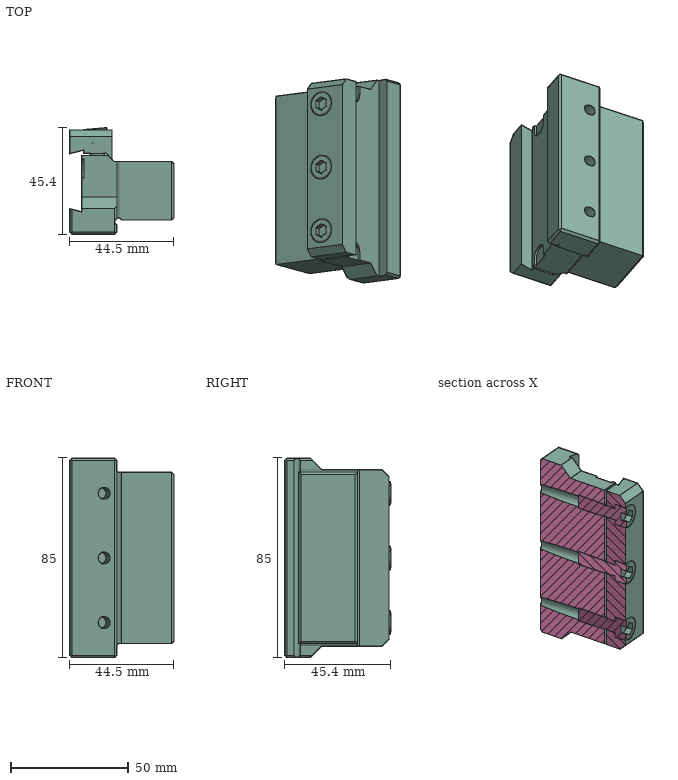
import cadquery as cq
import math

head_height = 85.0
body_height = 75.3
shank_height = 73.1
holder_width = 44.5
jaw_back_x = 20.15
seat_x = 5.1
jaw_tip_y = 11.0
shank_bottom_y = 6.0
shank_top_y = 31.1
body_top_y = 33.7
edge_chamfer = 1.0
shank_fillet = 0.85
relief_radius = 1.5
relief_offset = 0.7

notch_center_y = 28.05
notch_width = 8.0
notch_length = 7.1
notch_depth = 0.9
notch_corner_radius = 3.5

clamp_width = 18.1
clamp_top_y = 44.5
clamp_tip_y = 34.25
clamp_step_x = 5.95
clamp_under_y = 34.5
clamp_chamfer = 3.0
jaw_angle = 15.0
ramp_sum = 50.0

screw_spacing = 27.5
screw_lean = 5.0
screw_axis_x = 14.7
screw_diameter = 6.0
screw_head_diameter = 10.2
screw_head_height = 6.0
screw_start = 20.0
screw_top = 45.2
screw_head_fillet = 0.4
socket_across_flats = 5.0
socket_depth = 3.0
hexagon_sides = 6
drill_diameter = 5.0

jaw_slope = math.tan(math.radians(jaw_angle))
lean = math.radians(screw_lean)
axis_direction = cq.Vector(-math.sin(lean), math.cos(lean), 0)
screw_heights = [-screw_spacing, 0.0, screw_spacing]


def prism_z(points, height):
    """Extrude an XY outline evenly about the plane z = 0."""
    return cq.Workplane("XY").polyline(points).close().extrude(height / 2, both=True)


def prism_x(points, width):
    """Extrude a YZ outline from x = 0."""
    return cq.Workplane("YZ").polyline(points).close().extrude(width)


def screw_plane(distance, z):
    """Plane square to a screw axis, facing the head, at a distance from the bottom face.

    Its local x lies along global Z.
    """
    origin = axis_direction * distance + cq.Vector(screw_axis_x, 0, z)
    return cq.Workplane(cq.Plane(origin, cq.Vector(0, 0, 1), axis_direction))


def screw_cylinder(diameter, start, end, z):
    """Cylinder on a screw axis between two distances from the bottom face."""
    return screw_plane(start, z).circle(diameter / 2).extrude(end - start)


def make_head():
    outline = [
        (0, edge_chamfer),
        (edge_chamfer, 0),
        (jaw_back_x - edge_chamfer, 0),
        (jaw_back_x, edge_chamfer),
        (jaw_back_x, shank_top_y),
        (ramp_sum - shank_top_y, shank_top_y),
        (ramp_sum - body_top_y, body_top_y),
        (seat_x, body_top_y),
        (seat_x, jaw_tip_y - seat_x * jaw_slope),
        (0, jaw_tip_y),
    ]
    head = prism_z(outline, head_height)

    top = head_height / 2
    body_top = body_height / 2
    shoulder_y = jaw_tip_y + top - body_top
    upper_half = [
        (0, top - edge_chamfer),
        (edge_chamfer, top),
        (jaw_tip_y, top),
        (shoulder_y, body_top),
        (body_top_y, body_top),
    ]
    lower_half = [(y, -z) for y, z in reversed(upper_half)]
    head = head.intersect(prism_x(upper_half + lower_half, jaw_back_x))

    end_chamfers = (
        cq.Workplane("XZ")
        .rect(jaw_back_x, head_height)
        .extrude(-body_top_y)
        .edges("|Y")
        .chamfer(edge_chamfer)
        .translate((jaw_back_x / 2, 0, 0))
    )
    return head.intersect(end_chamfers)


def make_shank():
    length = holder_width - jaw_back_x
    depth = shank_top_y - shank_bottom_y
    shank = (
        cq.Workplane("XY")
        .box(length, depth, shank_height, centered=(False, False, True))
        .translate((jaw_back_x, shank_bottom_y, 0))
    )
    return shank.faces(">X").chamfer(edge_chamfer)


def make_shank_fillet(side):
    """Concave fillet between the head and one end face of the shank; side is +1 or -1."""
    z = side * shank_height / 2
    r = shank_fillet
    arc_middle = r * (1 - math.cos(math.radians(45)))
    return (
        cq.Workplane("XZ", origin=(0, shank_bottom_y, 0))
        .moveTo(jaw_back_x, z)
        .lineTo(jaw_back_x + r, z)
        .threePointArc((jaw_back_x + arc_middle, z + side * arc_middle), (jaw_back_x, z + side * r))
        .close()
        .extrude(shank_bottom_y - shank_top_y)
    )


def make_notch(side):
    """Round-cornered notch at one end of the blade seat; side is +1 or -1."""
    notch = (
        cq.Workplane("XY")
        .box(notch_depth, notch_width, 2 * notch_length)
        .edges("|X")
        .fillet(notch_corner_radius)
    )
    return notch.translate((seat_x + notch_depth / 2, notch_center_y, side * body_height / 2))


def make_holder():
    holder = make_head().union(make_shank())
    for side in (1, -1):
        holder = holder.union(make_shank_fillet(side))
        holder = holder.cut(make_notch(side))

    relief_center = (jaw_back_x + relief_offset, shank_bottom_y - relief_offset)
    relief = cq.Workplane("XY").center(*relief_center).circle(relief_radius)
    holder = holder.cut(relief.extrude(head_height / 2, both=True))

    for z in screw_heights:
        holder = holder.cut(screw_cylinder(drill_diameter, -drill_diameter, screw_start, z))
        holder = holder.cut(screw_cylinder(screw_diameter, screw_start, screw_top, z))
    return holder


def make_screw(z):
    """Socket head screw with a rounded head rim."""
    rim_center = screw_plane(screw_top, z).plane.origin
    screw_head = screw_cylinder(screw_head_diameter, screw_top - screw_head_height, screw_top, z)
    screw_head = screw_head.faces(cq.NearestToPointSelector(rim_center.toTuple())).edges()
    screw_head = screw_head.fillet(screw_head_fillet)

    shaft = screw_cylinder(screw_diameter, screw_start, screw_top - screw_head_height, z)
    hexagon_diameter = socket_across_flats / math.cos(math.pi / hexagon_sides)
    socket = screw_plane(screw_top, z).polygon(hexagon_sides, hexagon_diameter).extrude(-socket_depth)
    return shaft.union(screw_head).cut(socket)


def make_clamp():
    """Clamp outline, with end chamfers and a recess that fits each screw."""
    outline = [
        (0, clamp_top_y),
        (0, clamp_tip_y),
        (clamp_step_x, clamp_tip_y + clamp_step_x * jaw_slope),
        (clamp_step_x, clamp_under_y),
        (ramp_sum - clamp_under_y, clamp_under_y),
        (clamp_width, ramp_sum - clamp_width),
        (clamp_width, clamp_top_y),
    ]
    clamp = prism_z(outline, body_height).edges(">Y and |X").chamfer(clamp_chamfer)

    head_start = screw_top - screw_head_height
    for z in screw_heights:
        clamp = clamp.cut(screw_cylinder(screw_diameter, screw_start, head_start, z))
        clamp = clamp.cut(screw_cylinder(screw_head_diameter, head_start, screw_top, z))
    return clamp


holder = make_holder()
clamp = make_clamp()
screws = [make_screw(z) for z in screw_heights]

result = cq.Compound.makeCompound([holder.val(), clamp.val(), *[screw.val() for screw in screws]])